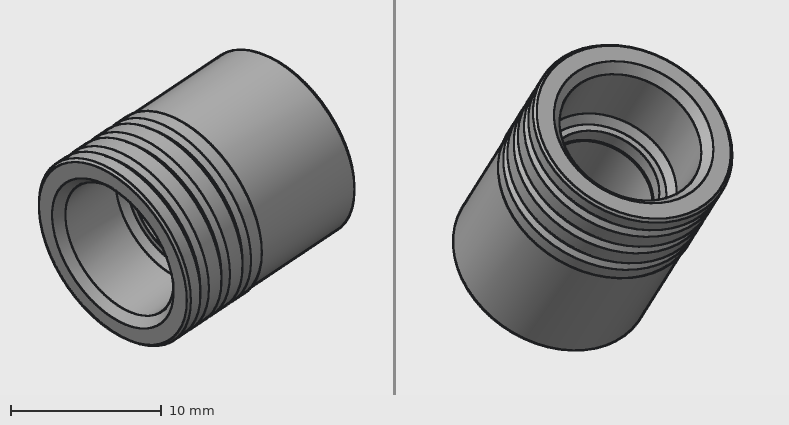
import cadquery as cq

total_length = 16.0
collar_length = 7.0

collar_radius = 7.048
collar_front_chamfer = 0.2
collar_rear_chamfer = 0.08
groove_count = 3
first_groove_y = 1.5
groove_pitch = 2.0
groove_depth = 0.4

socket_mouth_radius = 5.63
socket_radius = 5.0
socket_lead_in = socket_mouth_radius - socket_radius
socket_depth = 5.38
seat_radius = 4.48
seat_depth = socket_depth + (socket_radius - seat_radius)
collar_bore_radius = 3.98

sleeve_radius = collar_radius - collar_rear_chamfer
sleeve_bore_radius = 3.89
sleeve_rear_chamfer = 0.2


def revolve_about_y(outline):
    """Revolve a closed (radius, y) outline a full turn about the Y axis."""
    return cq.Workplane("XY").polyline(outline).close().revolve(360, (0, 0), (0, 1))


def groove_outline(center_y):
    """Points of one 45-degree V groove in the collar's outer edge."""
    return [
        (collar_radius, center_y - groove_depth),
        (collar_radius - groove_depth, center_y),
        (collar_radius, center_y + groove_depth),
    ]


def make_collar():
    outline = [
        (socket_mouth_radius, 0),
        (collar_radius - collar_front_chamfer, 0),
        (collar_radius, collar_front_chamfer),
    ]
    for index in range(groove_count):
        outline += groove_outline(first_groove_y + index * groove_pitch)
    outline += [
        (collar_radius, collar_length - collar_rear_chamfer),
        (sleeve_radius, collar_length),
        (collar_bore_radius, collar_length),
        (collar_bore_radius, seat_depth),
        (seat_radius, seat_depth),
        (socket_radius, socket_depth),
        (socket_radius, socket_lead_in),
    ]
    return revolve_about_y(outline)


def make_sleeve():
    outline = [
        (sleeve_bore_radius, collar_length),
        (sleeve_radius, collar_length),
        (sleeve_radius, total_length - sleeve_rear_chamfer),
        (sleeve_radius - sleeve_rear_chamfer, total_length),
        (sleeve_bore_radius, total_length),
    ]
    return revolve_about_y(outline)


collar = make_collar()
sleeve = make_sleeve()

result = cq.Compound.makeCompound([collar.val(), sleeve.val()])